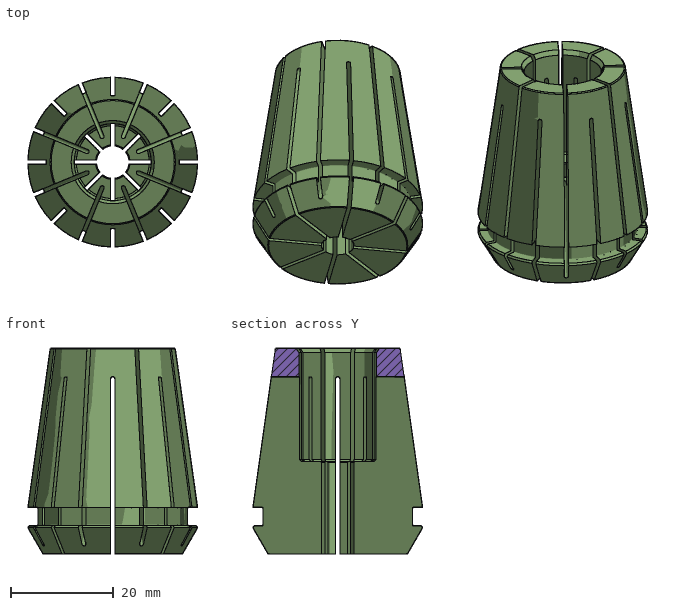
import cadquery as cq
import math

height = 40.0
max_diameter = 33.0
long_taper_angle = 8.0
nose_taper_angle = 30.0
top_edge_chamfer = 0.2
nose_edge_bevel = 0.1

groove_radius = 14.55
groove_bottom = 5.5
groove_top = 9.1
groove_fillet = 0.15
rim_height = 5.1
rim_bevel_width = 0.3

main_bore_radius = 7.5
mouth_chamfer_width = 0.6
mouth_chamfer_depth = 0.9
bore_floor = 18.0
floor_bevel = 0.4
small_bore_radius = 3.15
small_bore_chamfer = 0.2

slots_per_set = 8
slot_width = 0.8
lower_slot_top = 34.45
upper_slot_exit_radius = 14.5
upper_slot_exit_height = 1.55
upper_slot_slope = 60.0

max_radius = max_diameter / 2
long_taper = math.tan(math.radians(long_taper_angle))
nose_taper = math.tan(math.radians(nose_taper_angle))
nose_radius = max_radius - rim_height * nose_taper
top_radius = max_radius - (height - groove_top) * long_taper
slot_pitch = 360.0 / slots_per_set
slot_radius = slot_width / 2
cutter_reach = 2 * height


def collet_body():
    """Revolve the outer profile together with the stepped bore, then round the groove corners."""
    profile = [
        (small_bore_radius, 0),
        (nose_radius - nose_edge_bevel, 0),
        (nose_radius + nose_edge_bevel * nose_taper, nose_edge_bevel),
        (max_radius, rim_height),
        (max_radius - rim_bevel_width, groove_bottom),
        (groove_radius, groove_bottom),
        (groove_radius, groove_top),
        (max_radius, groove_top),
        (top_radius + top_edge_chamfer * long_taper, height - top_edge_chamfer),
        (top_radius - top_edge_chamfer, height),
        (main_bore_radius + mouth_chamfer_width, height),
        (main_bore_radius, height - mouth_chamfer_depth),
        (main_bore_radius, bore_floor + floor_bevel),
        (main_bore_radius - floor_bevel, bore_floor),
        (small_bore_radius + small_bore_chamfer, bore_floor),
        (small_bore_radius, bore_floor - small_bore_chamfer),
    ]
    body = cq.Workplane("XZ").polyline(profile).close().revolve(360, (0, 0), (0, 1))
    groove_corners = body.edges("%CIRCLE").filter(lambda edge: math.isclose(edge.radius(), groove_radius))
    return groove_corners.fillet(groove_fillet)


def lower_slot():
    """Radial cutter along +X, open at the bottom face, with a round upper end."""
    straight_top = lower_slot_top - slot_radius
    blade = cq.Workplane("XY").box(cutter_reach, slot_width, straight_top, centered=(False, True, False))
    round_end = cq.Workplane("YZ").center(0, straight_top).circle(slot_radius).extrude(cutter_reach)
    return blade.union(round_end)


def upper_slot():
    """Radial cutter along +X, open at the top face, with a round floor that rises towards the axis."""
    blade = cq.Workplane("XY").box(2 * cutter_reach, slot_width, cutter_reach, centered=(True, True, False))
    round_floor = cq.Workplane("YZ").circle(slot_radius).extrude(cutter_reach, both=True)
    level_cutter = blade.union(round_floor).translate((0, 0, slot_radius))
    sloped_cutter = level_cutter.rotate((0, 0, 0), (0, 1, 0), upper_slot_slope)
    placed_cutter = sloped_cutter.translate((upper_slot_exit_radius, 0, upper_slot_exit_height))
    one_side = cq.Workplane("XY").box(cutter_reach, cutter_reach, cutter_reach, centered=(False, True, True))
    return placed_cutter.intersect(one_side)


def turned(cutter, angle):
    """Turn a cutter about the collet axis."""
    return cutter.rotate((0, 0, 0), (0, 0, 1), angle)


result = collet_body()
lower_cutter = lower_slot()
upper_cutter = upper_slot()
for index in range(slots_per_set):
    result = result.cut(turned(lower_cutter, index * slot_pitch))
    result = result.cut(turned(upper_cutter, (index + 0.5) * slot_pitch))